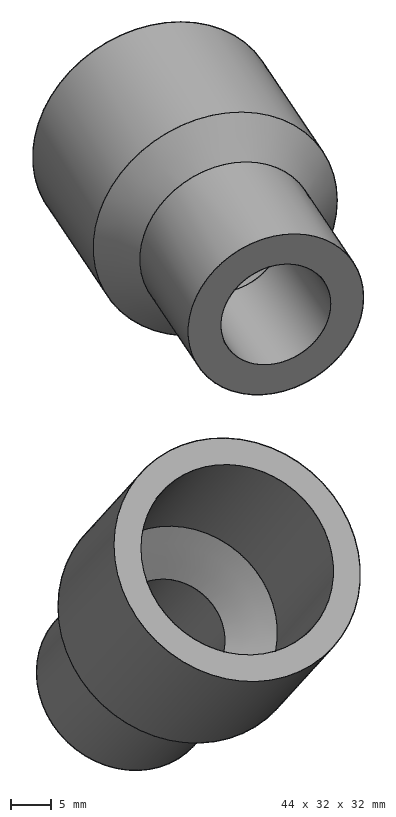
import cadquery as cq

length = 44.0
taper_start = 22.0

wide_outer_diameter = 32.0
wide_bore_diameter = 25.0
narrow_outer_diameter = 23.0
narrow_bore_diameter = 14.4

taper_length = (wide_outer_diameter - narrow_outer_diameter) / 2
taper_end = taper_start + taper_length


def stepped_round(wide_diameter, narrow_diameter):
    """Solid of revolution about X: wide cylinder, cone, narrow cylinder."""
    wide_radius = wide_diameter / 2
    narrow_radius = narrow_diameter / 2
    return (
        cq.Workplane("XY")
        .moveTo(0, 0)
        .lineTo(0, wide_radius)
        .lineTo(taper_start, wide_radius)
        .lineTo(taper_end, narrow_radius)
        .lineTo(length, narrow_radius)
        .lineTo(length, 0)
        .close()
        .revolve(360, (0, 0, 0), (1, 0, 0))
    )


body = stepped_round(wide_outer_diameter, narrow_outer_diameter)
bore = stepped_round(wide_bore_diameter, narrow_bore_diameter)
result = body.cut(bore)